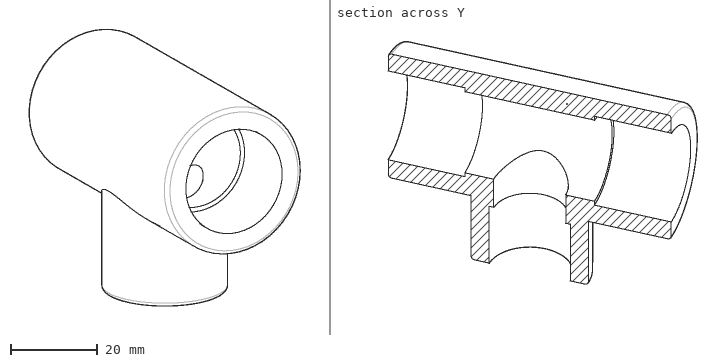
import cadquery as cq

run_length = 70.0
run_diameter = 35.2
run_socket_diameter = 25.0
run_passage_diameter = 22.8
run_socket_depth = 19.0

overall_height = 53.1
branch_diameter = 29.1
branch_socket_diameter = 20.0
branch_passage_diameter = 17.8
branch_socket_depth = 16.0

rim_radius = 1.0

branch_length = overall_height - run_diameter / 2


def run_cylinder(diameter, start_x, length):
    """Cylinder on the run axis, extending toward +X from start_x."""
    return cq.Workplane("YZ", origin=(start_x, 0, 0)).circle(diameter / 2).extrude(length)


def branch_cylinder(diameter, length):
    """Cylinder on the branch axis, extending up from the branch mouth."""
    return cq.Workplane("XY", origin=(0, 0, -branch_length)).circle(diameter / 2).extrude(length)


run = run_cylinder(run_diameter, -run_length / 2, run_length).edges("%CIRCLE").fillet(rim_radius)
branch = branch_cylinder(branch_diameter, branch_length).faces("<Z").edges().fillet(rim_radius)
body = run.union(branch)

body = body.cut(run_cylinder(run_passage_diameter, -run_length / 2, run_length))
for socket_start in (-run_length / 2, run_length / 2 - run_socket_depth):
    body = body.cut(run_cylinder(run_socket_diameter, socket_start, run_socket_depth))

body = body.cut(branch_cylinder(branch_passage_diameter, branch_length))
body = body.cut(branch_cylinder(branch_socket_diameter, branch_socket_depth))

result = body